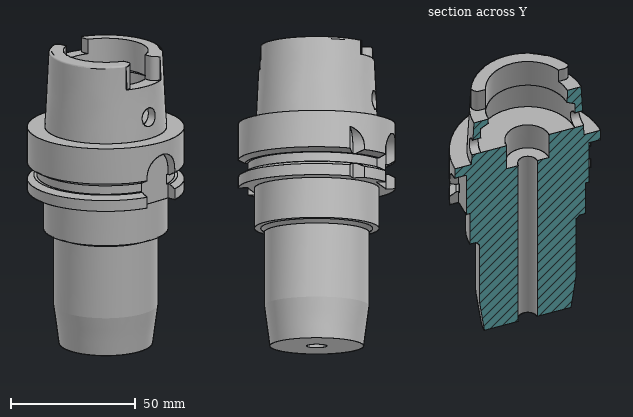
import cadquery as cq
import math

HEIGHT = 122.0
NOSE_TOP = 16.2
COLLAR_CONE_BOTTOM = 46.2
COLLAR_BOTTOM = 47.8
FLANGE_BOTTOM = 64.0
FLANGE_TOP = 90.2

NOSE_TIP_RADIUS = 18.8
BODY_RADIUS = 21.0
COLLAR_CONE_RADIUS = 22.5
COLLAR_RADIUS = 25.0
FLANGE_RADIUS = 31.5
TAPER_BASE_RADIUS = 24.4
TAPER_TOP_RADIUS = 22.8
RIM_ROUND = 1.1

GROOVE_RADIUS = 27.6
GROOVE_WALL_RADIUS = 28.8
GROOVE_BOTTOM = 70.0
GROOVE_TOP = 73.9
GROOVE_FLARE = 1.5

MOUTH_RADIUS = 17.0
CAVITY_RADIUS = 20.3
CAVITY_CONE_TOP = 109.4
CAVITY_CONE_DROP = 1.8
CAVITY_FLOOR = 95.2
COUNTERBORE_RADIUS = 9.2
COUNTERBORE_DEPTH = 12.2
BORE_RADIUS = 4.0

CROSS_HOLE_RADIUS = 3.8
CROSS_HOLE_Z = 99.0

KEY_HALF_WIDTH = 6.2
KEY_CORNER_RADIUS = 2.6
LEFT_KEY_DEPTH = 6.0
RIGHT_KEY_DEPTH = 10.1

DRIVE_HALF_WIDTH = 8.0
DRIVE_ARC_Z = 76.9
DRIVE_FLOOR = 26.6
NOTCH_CORNER = 19.8


def revolve_profile(points):
    """Revolve a closed (radius, Z) outline about the Z axis."""
    return cq.Workplane("XZ").polyline(points).close().revolve(360, (0, 0, 0), (0, 1, 0))


def turned_body():
    blank = revolve_profile([
        (0, 0),
        (NOSE_TIP_RADIUS, 0),
        (BODY_RADIUS, NOSE_TOP),
        (BODY_RADIUS, COLLAR_CONE_BOTTOM),
        (COLLAR_CONE_RADIUS, COLLAR_BOTTOM),
        (COLLAR_RADIUS, COLLAR_BOTTOM),
        (COLLAR_RADIUS, FLANGE_BOTTOM),
        (FLANGE_RADIUS, FLANGE_BOTTOM),
        (FLANGE_RADIUS, GROOVE_BOTTOM - GROOVE_FLARE),
        (GROOVE_WALL_RADIUS, GROOVE_BOTTOM),
        (GROOVE_RADIUS, GROOVE_BOTTOM),
        (GROOVE_RADIUS, GROOVE_TOP),
        (GROOVE_WALL_RADIUS, GROOVE_TOP),
        (FLANGE_RADIUS, GROOVE_TOP + GROOVE_FLARE),
        (FLANGE_RADIUS, FLANGE_TOP),
        (TAPER_BASE_RADIUS, FLANGE_TOP),
        (TAPER_TOP_RADIUS, HEIGHT),
        (0, HEIGHT),
    ])
    return blank.faces(">Z").edges().fillet(RIM_ROUND)


def cavity():
    """Mouth, undercut with a conical shoulder, counterbore and through bore."""
    cone_bottom = CAVITY_CONE_TOP - CAVITY_CONE_DROP
    counterbore_floor = CAVITY_FLOOR - COUNTERBORE_DEPTH
    return revolve_profile([
        (0, 0),
        (BORE_RADIUS, 0),
        (BORE_RADIUS, counterbore_floor),
        (COUNTERBORE_RADIUS, counterbore_floor),
        (COUNTERBORE_RADIUS, CAVITY_FLOOR),
        (CAVITY_RADIUS, CAVITY_FLOOR),
        (CAVITY_RADIUS, cone_bottom),
        (MOUTH_RADIUS, CAVITY_CONE_TOP),
        (MOUTH_RADIUS, HEIGHT),
        (0, HEIGHT),
    ])


def key_slot(side, depth):
    """Slot through the rim on one X side, flaring out round the arm corners."""
    arc_y = KEY_HALF_WIDTH + KEY_CORNER_RADIUS
    arc_distance = TAPER_TOP_RADIUS - KEY_CORNER_RADIUS
    arc_x = math.sqrt(arc_distance**2 - arc_y**2)
    outer_x = arc_x * TAPER_TOP_RADIUS / arc_distance
    outer_y = arc_y * TAPER_TOP_RADIUS / arc_distance
    mid_angle = (math.atan2(arc_y, arc_x) - math.pi / 2) / 2
    mid_x = arc_x + KEY_CORNER_RADIUS * math.cos(mid_angle)
    mid_y = arc_y + KEY_CORNER_RADIUS * math.sin(mid_angle)
    return (
        cq.Workplane("XY", origin=(0, 0, HEIGHT - depth))
        .moveTo(0, -KEY_HALF_WIDTH)
        .lineTo(side * arc_x, -KEY_HALF_WIDTH)
        .threePointArc((side * mid_x, -mid_y), (side * outer_x, -outer_y))
        .lineTo(side * FLANGE_RADIUS, -outer_y)
        .lineTo(side * FLANGE_RADIUS, outer_y)
        .lineTo(side * outer_x, outer_y)
        .threePointArc((side * mid_x, mid_y), (side * arc_x, KEY_HALF_WIDTH))
        .lineTo(0, KEY_HALF_WIDTH)
        .close()
        .extrude(depth)
    )


def cross_hole():
    return (
        cq.Workplane("YZ")
        .center(0, CROSS_HOLE_Z)
        .circle(CROSS_HOLE_RADIUS)
        .extrude(FLANGE_RADIUS, both=True)
    )


def flange_cut(center_y, inner_x, outer_x):
    """Round-topped cut along X, open at the underside of the flange."""
    return (
        cq.Workplane("YZ", origin=(inner_x, center_y, 0))
        .moveTo(-DRIVE_HALF_WIDTH, FLANGE_BOTTOM)
        .lineTo(DRIVE_HALF_WIDTH, FLANGE_BOTTOM)
        .lineTo(DRIVE_HALF_WIDTH, DRIVE_ARC_Z)
        .threePointArc((0, DRIVE_ARC_Z + DRIVE_HALF_WIDTH), (-DRIVE_HALF_WIDTH, DRIVE_ARC_Z))
        .close()
        .extrude(outer_x - inner_x)
    )


result = turned_body().cut(cavity())
result = result.cut(key_slot(-1, LEFT_KEY_DEPTH))
result = result.cut(key_slot(1, RIGHT_KEY_DEPTH))
result = result.cut(cross_hole())

for side in (-1, 1):
    result = result.cut(flange_cut(0, side * DRIVE_FLOOR, side * FLANGE_RADIUS))

notch_center_y = NOTCH_CORNER + DRIVE_HALF_WIDTH
result = result.cut(flange_cut(notch_center_y, -NOTCH_CORNER, -FLANGE_RADIUS))